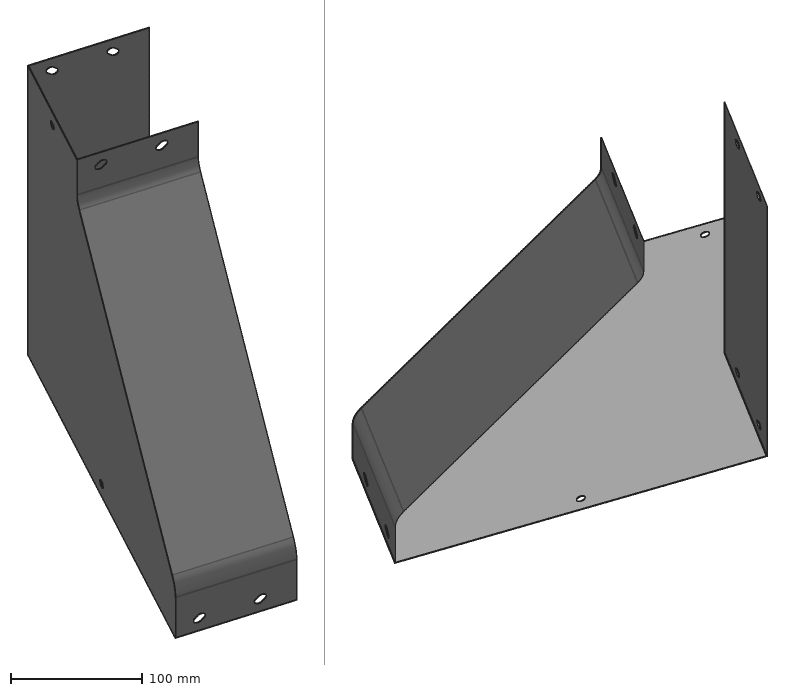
import cadquery as cq
import math

height = 350.0
width = height * 6 / 7
depth = height * 2 / 7
sheet = 0.8

top_width = depth
top_leg = height / 7
bottom_leg = height * 6 / 35
top_bend_radius = 20.0
bottom_bend_radius = 30.0

hole_diameter = 7.0
slot_length = 11.0
slot_angle = 45.0
hole_edge_gap = 15.0
slot_y_positions = (depth / 5, depth * 0.7)

slope_angle = math.atan2(width - top_width, height - top_leg - bottom_leg)


def bend_points(corner, radius, side):
    """Start, middle and end of the arc rounding a corner from vertical to slope.

    side is +1 when the arc centre lies towards +X (upper bend), and -1 when
    it lies towards -X (lower bend).
    """
    tangent = radius * math.tan(slope_angle / 2)
    center_x = corner[0] + side * radius
    center_z = corner[1] + side * tangent

    def on_arc(angle):
        x = center_x - side * radius * math.cos(angle)
        z = center_z - side * radius * math.sin(angle)
        return x, z

    return on_arc(0), on_arc(slope_angle / 2), on_arc(slope_angle)


def solid_outline(inset):
    """Filled reducer outline, with its side walls moved inwards by inset."""
    corner_drop = inset * math.tan(slope_angle / 2)
    top_corner = (top_width - inset, height - top_leg - corner_drop)
    bottom_corner = (width - inset, bottom_leg - corner_drop)
    top_start, top_middle, top_end = bend_points(top_corner, top_bend_radius + inset, 1)
    bottom_end, bottom_middle, bottom_start = bend_points(
        bottom_corner, bottom_bend_radius - inset, -1
    )
    return (
        cq.Workplane("XZ")
        .moveTo(inset, 0)
        .lineTo(inset, height)
        .lineTo(top_width - inset, height)
        .lineTo(*top_start)
        .threePointArc(top_middle, top_end)
        .lineTo(*bottom_start)
        .threePointArc(bottom_middle, bottom_end)
        .lineTo(width - inset, 0)
        .close()
        .extrude(-depth)
    )


def make_channel():
    """Front plate and two side walls, open at the top, bottom and back."""
    cavity = solid_outline(sheet).translate((0, sheet, 0))
    return solid_outline(0).cut(cavity)


def front_hole(x, z):
    """Round cutter through the front plate."""
    return (
        cq.Workplane("XZ", origin=(x, 0, z))
        .circle(hole_diameter / 2)
        .extrude(-2 * sheet, both=True)
    )


def wall_slot(x, y, z, angle):
    """Tilted slot cutter through a vertical side wall."""
    return (
        cq.Workplane("YZ", origin=(x, y, z))
        .slot2D(slot_length, hole_diameter, angle)
        .extrude(2 * sheet, both=True)
    )


result = make_channel()

result = result.cut(front_hole(top_width / 2, height - hole_edge_gap))
result = result.cut(front_hole(width / 2, hole_edge_gap))

for wall_z, wall_x in ((height - hole_edge_gap, top_width), (hole_edge_gap, width)):
    for slot_y in slot_y_positions:
        result = result.cut(wall_slot(0, slot_y, wall_z, -slot_angle))
        result = result.cut(wall_slot(wall_x, slot_y, wall_z, slot_angle))